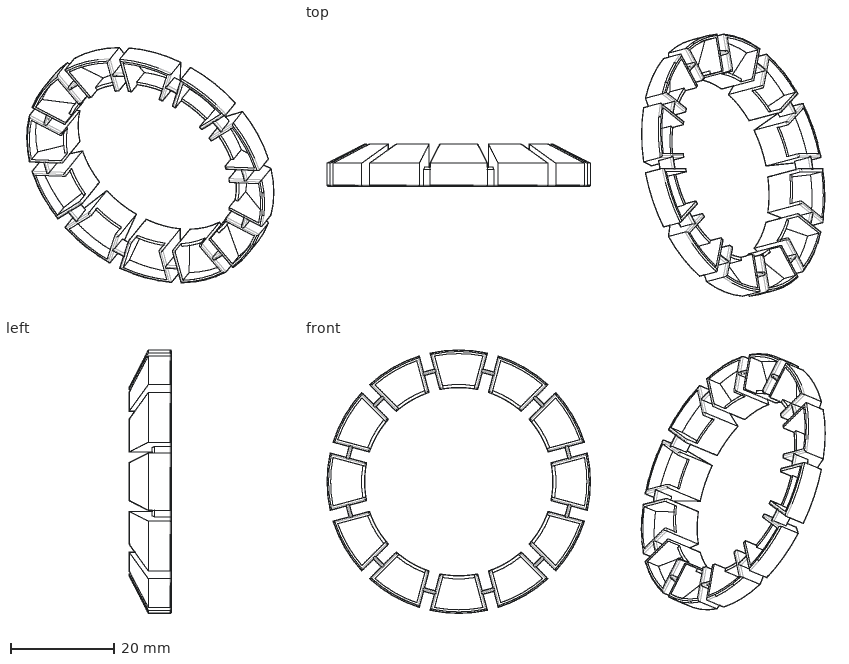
import cadquery as cq
import math

outer_radius = 25.55
inner_radius = 18.25
depth = 8.2
shoulder = 4.5
tile_count = 12
gap = 2.15
edge_round = 0.3

wall = 0.7
lip_wall = 0.6
lip_start = 2.8
cavity_shoulder = 2.8
cavity_depth = 6.35

bridge_radius = 21.95
bridge_width = 0.7
bridge_inner_depth = 3.75
bridge_outer_depth = 3.25
bridge_overlap = wall / 2

half_pitch = math.pi / tile_count
clearance = 0.5
axis_start = (0, 0, 0)
axis_end = (0, 1, 0)


def wedge(side_offset):
    """Sector along +X whose flat sides lie side_offset inside the planes halfway to the next tiles."""
    apex = side_offset / math.sin(half_pitch)
    reach = outer_radius + clearance
    half_width = (reach - apex) * math.tan(half_pitch)
    return (
        cq.Workplane("XZ", origin=(0, -clearance, 0))
        .polyline([(apex, 0), (reach, -half_width), (reach, half_width)])
        .close()
        .extrude(-(depth + 2 * clearance))
    )


def revolved(profile):
    """Full turn of an (r, y) outline about the Y axis."""
    return cq.Workplane("XY").polyline(profile).close().revolve(360, axis_start, axis_end)


def make_tile():
    """One hollow tile centred on +X."""
    body = revolved([
        (inner_radius, 0),
        (outer_radius, 0),
        (outer_radius, shoulder),
        (inner_radius, depth),
    ]).intersect(wedge(gap / 2))
    body = body.faces("<Y").edges().fillet(edge_round)

    cavity_outer = outer_radius - wall
    lip_radius = inner_radius + lip_wall
    opening = inner_radius - clearance
    cavity = revolved([
        (opening, -clearance),
        (cavity_outer, -clearance),
        (cavity_outer, cavity_shoulder),
        (lip_radius, cavity_depth),
        (lip_radius, lip_start),
        (opening, lip_start),
    ]).intersect(wedge(gap / 2 + wall))
    return body.cut(cavity)


def make_bridge():
    """Curved bar across a gap centred on +X, rounded along its edges at y = 0."""
    low = bridge_radius - bridge_width / 2
    high = bridge_radius + bridge_width / 2
    bar = revolved([
        (low, 0),
        (high, 0),
        (high, bridge_outer_depth),
        (low, bridge_inner_depth),
    ])
    bar = bar.faces("<Y").edges().fillet(edge_round)
    length = gap + 2 * bridge_overlap
    span = cq.Workplane("XY").box(outer_radius, 2 * depth, length, centered=(False, True, True))
    return bar.intersect(span)


tile = make_tile()
bridge = make_bridge()
result = cq.Workplane("XY")
for index in range(tile_count):
    tile_angle = index * 360 / tile_count
    bridge_angle = tile_angle + math.degrees(half_pitch)
    result = result.union(tile.rotate(axis_start, axis_end, tile_angle))
    result = result.union(bridge.rotate(axis_start, axis_end, bridge_angle))